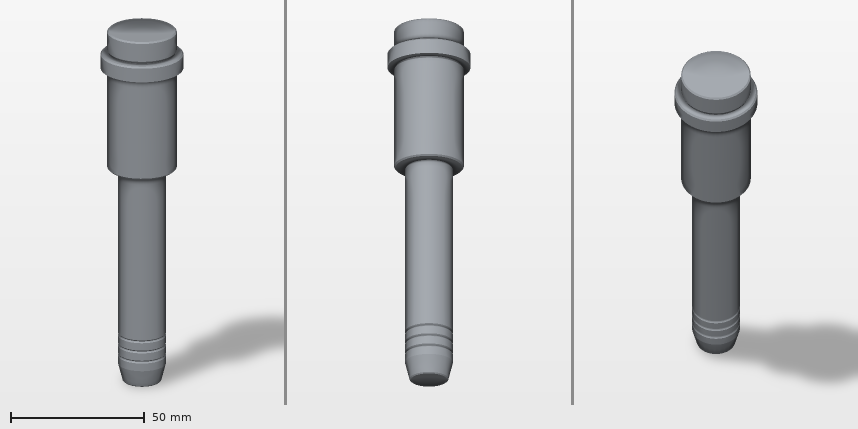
import cadquery as cq

total_height = 140.0
flange_radius = 15.5
head_radius = 13.0
shank_radius = 9.0

flange_top = 131.0
flange_bottom = 125.0
sleeve_bottom = 85.0
taper_top = 7.0
tip_radius = 7.3
edge_chamfer = 0.5
tip_chamfer = 0.4
long_chamfer_height = 0.8

relief_depth = 0.5
head_relief_height = 0.4
sleeve_relief_height = 0.4

groove_count = 3
groove_width = 1.1
groove_depth = 0.5
groove_pitch = 4.0
lowest_groove_height = 10.6


def cylinder(radius, bottom, top):
    return cq.Workplane("XY").workplane(offset=bottom).circle(radius).extrude(top - bottom)


def revolve_profile(profile):
    """Solid of revolution about Z from (radius, height) points."""
    return cq.Workplane("XZ").polyline(profile).close().revolve(360, (0, 0, 0), (0, 1, 0))


def chamfered_cylinder(radius, bottom, top, bottom_chamfer=0, top_chamfer=0):
    """Cylinder whose end chamfers take the given heights and are all edge_chamfer deep radially."""
    profile = [(0, bottom)]
    if bottom_chamfer:
        profile.append((radius - edge_chamfer, bottom))
    profile.append((radius, bottom + bottom_chamfer))
    profile.append((radius, top - top_chamfer))
    if top_chamfer:
        profile.append((radius - edge_chamfer, top))
    profile.append((0, top))
    return revolve_profile(profile)


def make_tapered_tip():
    profile = [
        (0, 0),
        (tip_radius - tip_chamfer, 0),
        (tip_radius, tip_chamfer),
        (shank_radius, taper_top),
        (0, taper_top),
    ]
    return revolve_profile(profile)


def make_groove_cutter(center_height):
    profile = [
        (shank_radius, center_height - groove_width / 2),
        (shank_radius - groove_depth, center_height),
        (shank_radius, center_height + groove_width / 2),
    ]
    return revolve_profile(profile)


sleeve_top = flange_bottom - sleeve_relief_height
head_bottom = flange_top + head_relief_height

tip = make_tapered_tip()
shank = chamfered_cylinder(shank_radius, taper_top, sleeve_bottom, top_chamfer=long_chamfer_height)
sleeve = chamfered_cylinder(head_radius, sleeve_bottom, sleeve_top, edge_chamfer, edge_chamfer)
flange = chamfered_cylinder(flange_radius, flange_bottom, flange_top, top_chamfer=edge_chamfer)
head = chamfered_cylinder(head_radius, head_bottom, total_height, long_chamfer_height, edge_chamfer)

neck = cylinder(head_radius - relief_depth, sleeve_top, head_bottom)

result = tip.union(shank).union(sleeve).union(neck).union(flange).union(head)

for index in range(groove_count):
    result = result.cut(make_groove_cutter(lowest_groove_height + index * groove_pitch))